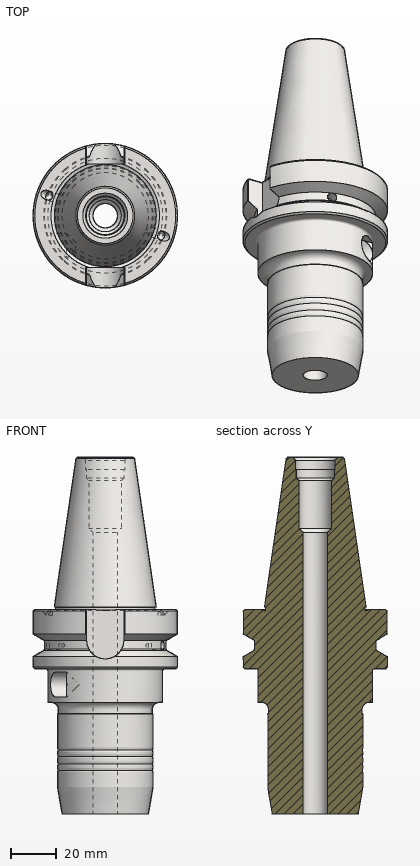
import cadquery as cq
import math

HOLE_TIP_HALF_ANGLE = 45.0

LENGTH = 155.4

TAPER_RATIO = 7 / 24
GAUGE_RADIUS = 22.2
GAUGE_Z = 90.3
TAPER_END_CHAMFER = 0.6
TAPER_END_RADIUS = GAUGE_RADIUS - (LENGTH - GAUGE_Z) * TAPER_RATIO / 2
RELIEF_RADIUS = 21.8
RELIEF_TOP_Z = 90.0
RECESS_RADIUS = 23.6
RECESS_DEPTH = 0.6

FLANGE_RADIUS = 63.0 / 2
FLANGE_TOP_Z = 89.2
FLANGE_BOTTOM_Z = 63.2
FLANGE_CHAMFER = 0.8
GROOVE_RADIUS = 53.0 / 2
GROOVE_Z = 73.5
GROOVE_FLOOR_WIDTH = 4.0
GROOVE_FLANK_ANGLE = 30.0
GROOVE_ROOT_CHAMFER = 0.3

COLLAR_RADIUS = 25.0
COLLAR_BOTTOM_Z = 48.6
COLLAR_ROOT_FILLET = 1.0
NECK_RADIUS = 20.5
NECK_FILLET = 3.1
BODY_RADIUS = 20.8
BODY_TOP_Z = 43.5
NOSE_RADIUS = 18.8
NOSE_LENGTH = 11.7

RING_WIDTH = 1.9
RING_DEPTH = 0.23
RING_PITCH = 2.8
RING_PAIR_PITCH = 6.0
RING_LOWEST_Z = 19.1
RING_PAIRS = 2
RINGS_PER_PAIR = 2

BORE_MOUTH_RADIUS = 9.8
BORE_MOUTH_DEPTH = 1.4
COUNTERBORE_RADIUS = 8.5
COUNTERBORE_DEPTH = 5.5
LEDGE_RADIUS = 8.2
LEDGE_DEPTH = 9.0
THREAD_RADIUS = 7.0
THREAD_DEPTH = 31.1
THROUGH_RADIUS = 5.3

KEY_WIDTH = 16.2
KEY_EDGE_CHAMFER = 0.5
KEY_FLOOR_Y = 22.5
KEY_ROUND_Z = 75.7

SCREW_RADIUS = 5.5
SCREW_Y = -13.2
SCREW_Z = 56.4
SCREW_FLOOR_X = -16.8

COOLANT_ANGLES = (160.5, 340.5)
FACE_HOLE_RADIUS = 2.0
FACE_HOLE_CENTRE = 26.9
FACE_HOLE_TILT = 42.0
FACE_HOLE_DEPTH = 1.5
GROOVE_HOLE_RADIUS = 2.0
GROOVE_HOLE_DEPTH = 5.9


def turned_body():
    """Revolve the outside of the holder about Z."""
    groove_bottom_z = GROOVE_Z - GROOVE_FLOOR_WIDTH / 2
    groove_top_z = GROOVE_Z + GROOVE_FLOOR_WIDTH / 2
    flank_slope = math.tan(math.radians(GROOVE_FLANK_ANGLE))
    root_radius = GROOVE_RADIUS + GROOVE_ROOT_CHAMFER
    root_z = groove_bottom_z - GROOVE_ROOT_CHAMFER * flank_slope
    flank_height = (FLANGE_RADIUS - GROOVE_RADIUS) * flank_slope
    cos_45 = math.cos(math.radians(45))
    neck_arc_r = NECK_RADIUS + NECK_FILLET
    neck_arc_z = COLLAR_BOTTOM_Z - NECK_FILLET
    root_arc_r = COLLAR_RADIUS + COLLAR_ROOT_FILLET
    root_arc_z = FLANGE_BOTTOM_Z - COLLAR_ROOT_FILLET
    chamfer_radius = TAPER_END_RADIUS + TAPER_END_CHAMFER * TAPER_RATIO / 2
    profile = (
        cq.Workplane("XZ")
        .moveTo(0, 0)
        .lineTo(NOSE_RADIUS, 0)
        .lineTo(BODY_RADIUS, NOSE_LENGTH)
        .lineTo(BODY_RADIUS, BODY_TOP_Z)
        .lineTo(NECK_RADIUS, BODY_TOP_Z + (BODY_RADIUS - NECK_RADIUS))
        .lineTo(NECK_RADIUS, neck_arc_z)
        .threePointArc(
            (neck_arc_r - NECK_FILLET * cos_45, neck_arc_z + NECK_FILLET * cos_45),
            (neck_arc_r, COLLAR_BOTTOM_Z),
        )
        .lineTo(COLLAR_RADIUS, COLLAR_BOTTOM_Z)
        .lineTo(COLLAR_RADIUS, root_arc_z)
        .threePointArc(
            (root_arc_r - COLLAR_ROOT_FILLET * cos_45, root_arc_z + COLLAR_ROOT_FILLET * cos_45),
            (root_arc_r, FLANGE_BOTTOM_Z),
        )
        .lineTo(FLANGE_RADIUS - FLANGE_CHAMFER, FLANGE_BOTTOM_Z)
        .lineTo(FLANGE_RADIUS, FLANGE_BOTTOM_Z + FLANGE_CHAMFER)
        .lineTo(FLANGE_RADIUS, groove_bottom_z - flank_height)
        .lineTo(root_radius, root_z)
        .lineTo(GROOVE_RADIUS, groove_bottom_z + GROOVE_ROOT_CHAMFER)
        .lineTo(GROOVE_RADIUS, groove_top_z)
        .lineTo(FLANGE_RADIUS, groove_top_z + flank_height)
        .lineTo(FLANGE_RADIUS, FLANGE_TOP_Z - FLANGE_CHAMFER)
        .lineTo(FLANGE_RADIUS - FLANGE_CHAMFER, FLANGE_TOP_Z)
        .lineTo(RECESS_RADIUS, FLANGE_TOP_Z)
        .lineTo(RELIEF_RADIUS, FLANGE_TOP_Z - RECESS_DEPTH)
        .lineTo(RELIEF_RADIUS, RELIEF_TOP_Z)
        .lineTo(GAUGE_RADIUS, GAUGE_Z)
        .lineTo(chamfer_radius, LENGTH - TAPER_END_CHAMFER)
        .lineTo(TAPER_END_RADIUS - TAPER_END_CHAMFER, LENGTH)
        .lineTo(0, LENGTH)
        .close()
    )
    return profile.revolve(360, (0, 0, 0), (0, 1, 0))


def marking_ring(z):
    """V-groove around the body, centred at height z."""
    half_width = RING_WIDTH / 2
    return (
        cq.Workplane("XZ")
        .moveTo(BODY_RADIUS, z - half_width)
        .lineTo(BODY_RADIUS - RING_DEPTH, z)
        .lineTo(BODY_RADIUS, z + half_width)
        .close()
        .revolve(360, (0, 0, 0), (0, 1, 0))
    )


def central_bore():
    """Stepped bore right through the holder."""
    mouth_z = LENGTH - BORE_MOUTH_DEPTH
    counterbore_z = LENGTH - COUNTERBORE_DEPTH
    ledge_z = LENGTH - LEDGE_DEPTH
    cone_length = (LEDGE_RADIUS - THREAD_RADIUS) / math.tan(math.radians(HOLE_TIP_HALF_ANGLE))
    thread_z = LENGTH - THREAD_DEPTH
    tip_length = (THREAD_RADIUS - THROUGH_RADIUS) / math.tan(math.radians(HOLE_TIP_HALF_ANGLE))
    return (
        cq.Workplane("XZ")
        .moveTo(0, 0)
        .lineTo(THROUGH_RADIUS, 0)
        .lineTo(THROUGH_RADIUS, thread_z - tip_length)
        .lineTo(THREAD_RADIUS, thread_z)
        .lineTo(THREAD_RADIUS, ledge_z - cone_length)
        .lineTo(LEDGE_RADIUS, ledge_z)
        .lineTo(LEDGE_RADIUS, counterbore_z)
        .lineTo(COUNTERBORE_RADIUS, counterbore_z)
        .lineTo(COUNTERBORE_RADIUS, mouth_z)
        .lineTo(BORE_MOUTH_RADIUS, LENGTH)
        .lineTo(0, LENGTH)
        .close()
        .revolve(360, (0, 0, 0), (0, 1, 0))
    )


def key_slot(side):
    """Round-ended drive key slot; side is -1 for -Y and +1 for +Y."""
    half_width = KEY_WIDTH / 2
    return (
        cq.Workplane("XZ", origin=(0, side * KEY_FLOOR_Y, 0))
        .moveTo(-half_width, GAUGE_Z)
        .lineTo(-half_width, KEY_ROUND_Z)
        .threePointArc((0, KEY_ROUND_Z - half_width), (half_width, KEY_ROUND_Z))
        .lineTo(half_width, GAUGE_Z)
        .close()
        .extrude(-side * FLANGE_RADIUS)
    )


def chamfer_key_edges(holder):
    """Break the outer edges of the key slot walls above the gripper groove."""
    margin = KEY_EDGE_CHAMFER / 2
    for side in (-1, 1):
        for wall_x in (-KEY_WIDTH / 2, KEY_WIDTH / 2):
            wall_edges = cq.selectors.BoxSelector(
                (wall_x - margin, side * (KEY_FLOOR_Y + margin), GROOVE_Z + GROOVE_FLOOR_WIDTH),
                (wall_x + margin, side * FLANGE_RADIUS, GAUGE_Z),
            )
            holder = holder.edges(wall_edges).chamfer(KEY_EDGE_CHAMFER)
    return holder


def drilled_hole(radius, depth, start, direction):
    """Blind hole with a conical bottom, its full-width length being depth."""
    axis = cq.Vector(*direction).normalized()
    tip_length = radius / math.tan(math.radians(HOLE_TIP_HALF_ANGLE))
    mouth = cq.Vector(*start)
    shaft = cq.Solid.makeCylinder(radius, depth, mouth, axis)
    tip = cq.Solid.makeCone(radius, 0, tip_length, mouth + axis * depth, axis)
    return cq.Workplane(shaft.fuse(tip))


def screw_pocket():
    """Clamping screw hole, opened out towards -Y above its flat floor."""
    depth = FLANGE_RADIUS + SCREW_FLOOR_X
    hole = drilled_hole(SCREW_RADIUS, depth, (-FLANGE_RADIUS, SCREW_Y, SCREW_Z), (1, 0, 0))
    opening = cq.Workplane(
        cq.Solid.makeBox(
            depth,
            FLANGE_RADIUS + SCREW_Y,
            2 * SCREW_RADIUS,
            cq.Vector(-FLANGE_RADIUS, -FLANGE_RADIUS, SCREW_Z - SCREW_RADIUS),
        )
    )
    return hole.union(opening)


def coolant_holes(angle):
    """Slanted face hole and radial groove hole at one angle about Z."""
    tilt = math.radians(FACE_HOLE_TILT)
    inward = math.sin(tilt)
    down = math.cos(tilt)
    lead = 2 * FACE_HOLE_RADIUS
    face_hole = drilled_hole(
        FACE_HOLE_RADIUS,
        FACE_HOLE_DEPTH + lead,
        (FACE_HOLE_CENTRE + lead * inward, 0, FLANGE_TOP_Z + lead * down),
        (-inward, 0, -down),
    )
    groove_hole = drilled_hole(
        GROOVE_HOLE_RADIUS, GROOVE_HOLE_DEPTH, (GROOVE_RADIUS, 0, GROOVE_Z), (-1, 0, 0)
    )
    return face_hole.union(groove_hole).rotate((0, 0, 0), (0, 0, 1), angle)


result = turned_body().cut(central_bore())
for pair in range(RING_PAIRS):
    for ring in range(RINGS_PER_PAIR):
        ring_z = RING_LOWEST_Z + pair * RING_PAIR_PITCH + ring * RING_PITCH
        result = result.cut(marking_ring(ring_z))
for side in (-1, 1):
    result = result.cut(key_slot(side))
result = chamfer_key_edges(result)
result = result.cut(screw_pocket())
for angle in COOLANT_ANGLES:
    result = result.cut(coolant_holes(angle))